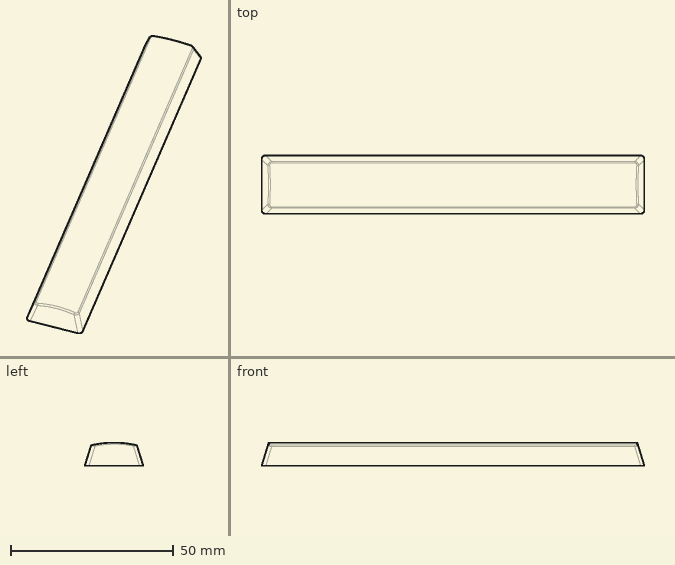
import cadquery as cq
import math

LENGTH = 118.0
WIDTH = 18.0
HEIGHT = 7.2

WALL_DRAFT = 17.0
CORNER_RADIUS = 1.3
CROWN_RADIUS = 29.5
RIM_RADIUS = 0.6

SPARE = 1.2


def drafted_block():
    """Rectangular block with leaning walls and rounded corner edges."""
    block = cq.Workplane("XY").rect(LENGTH, WIDTH).extrude(HEIGHT + SPARE, taper=WALL_DRAFT)
    return block.edges("not(#Z)").fillet(CORNER_RADIUS)


def crown_envelope():
    """Space below the crown: a prism along X whose top is a shallow arc."""
    half_width = WIDTH / 2
    arc_drop = CROWN_RADIUS - math.sqrt(CROWN_RADIUS**2 - half_width**2)
    shoulder = HEIGHT - arc_drop
    return (
        cq.Workplane("YZ")
        .moveTo(-half_width, 0)
        .lineTo(half_width, 0)
        .lineTo(half_width, shoulder)
        .threePointArc((0, HEIGHT), (-half_width, shoulder))
        .close()
        .extrude(LENGTH / 2, both=True)
    )


body = drafted_block().intersect(crown_envelope())
crown_face = cq.selectors.NearestToPointSelector((0, 0, HEIGHT))
result = body.faces(crown_face).edges().fillet(RIM_RADIUS)